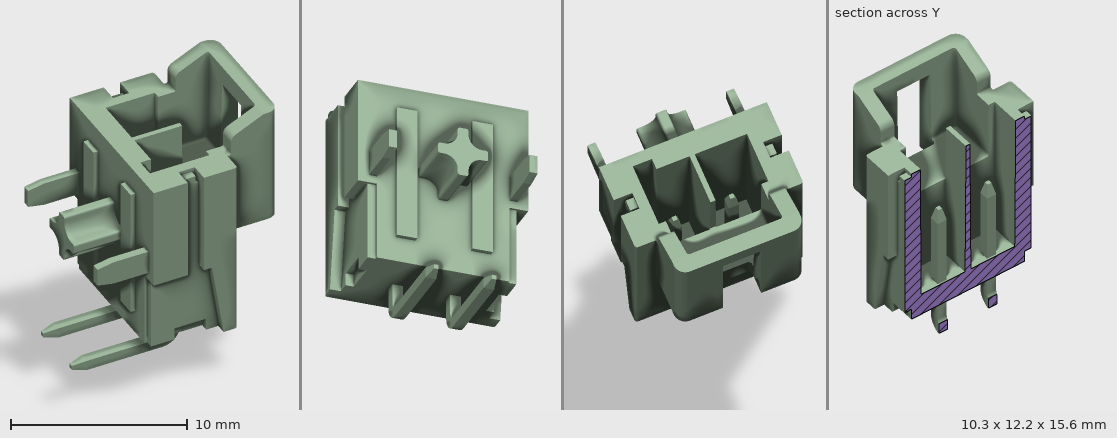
import cadquery as cq
import math


body_width = 10.3
body_depth = 5.35
body_height = 11.22
half_width = body_width / 2
back_corner_radius = 0.17

hood_width = 7.78
hood_back = 8.65
hood_bottom = 5.94
hood_top = 13.36
hood_front = 5.58
hood_bevel_start = 7.66
hood_bevel_angle = 25.0
hood_nose_radius = 0.5
hood_foot_radius = 0.11
hood_corner_radius = 0.7

pocket_width = 5.85
pocket_front = 4.4
pocket_back = 7.53
pocket_floor = 7.3
pocket_radius = 0.17

window_width = 2.35
window_top = 12.22
window_front = 7.13
window_chamfer = 0.14

cavity_outer = 3.36
cavity_front = 1.36
cavity_back = 4.49
cavity_floor = 1.56
cavity_draft = 0.4
divider_half = 0.15
key_inner = 2.19
key_front = 0.69

clip_thickness = 0.48
clip_outer = half_width - 0.65
clip_inner = clip_outer - clip_thickness
groove_front = 2.17
groove_back = 3.2
recess_height = 4.75
recess_back_top = 3.72
recess_back_bottom = 4.45

clip_front = 0.17
clip_arm_gap = 0.05
clip_shoulder_height = 10.5
clip_tab_front = 2.36
clip_tab_back = 3.02
clip_tab_top = 10.97
clip_notch_front = 1.65
clip_notch_back = 3.69
clip_notch_height = 0.77
leg_bottom = 5.22
leg_top = 6.7
leg_length = 3.24
leg_taper_length = 1.02
leg_taper_rise = 0.19

rib_spacing = 4.56
rib_width = 1.22
rib_bottom = 1.53
rib_top = 9.74
rib_thickness = 0.3

post_height = 5.95
post_length = 3.19
post_reach = 1.52
post_arm_half = 0.33
post_tip_radius = 0.14
post_web_start = 1.15

pin_pitch = 3.5
pin_size = 0.64
pin_back = 3.28
pin_tail_bottom = -2.27
pin_tail_end = 3.52
pin_bend_radius = 0.47
pin_tip_length = 0.85
pin_tip_size = 0.27
pin_mating_top = 7.03


def box(x_range, y_range, z_range):
    """Axis-aligned box from its limits along X, Y and Z."""
    sizes = [high - low for low, high in (x_range, y_range, z_range)]
    corner = (x_range[0], y_range[0], z_range[0])
    return cq.Workplane("XY").box(*sizes, centered=False).translate(corner)


def side_plate(outline, x_low, x_high):
    """Closed outline in Y and Z, made solid between two X positions."""
    return cq.Workplane("YZ").polyline(outline).close().extrude(x_high - x_low).translate((x_low, 0, 0))


def mirrored(shape):
    """The shape together with its mirror image across X = 0."""
    return shape.union(shape.mirror("YZ"))


def make_body():
    body = box((-half_width, half_width), (0, body_depth), (0, body_height))
    return body.edges("|Z and >Y").fillet(back_corner_radius)


def make_hood():
    bevel_drop = (hood_bevel_start - hood_front) * math.tan(math.radians(hood_bevel_angle))
    nose_z = hood_top - bevel_drop
    outline = [
        (pocket_front, hood_bottom),
        (hood_back, hood_bottom),
        (hood_back, hood_top),
        (hood_bevel_start, hood_top),
        (hood_front, nose_z),
        (hood_front, body_height),
        (pocket_front, body_height),
    ]
    hood = side_plate(outline, -hood_width / 2, hood_width / 2)
    hood = hood.edges("|Z and >Y").fillet(hood_corner_radius)
    nose = cq.selectors.NearestToPointSelector((0, hood_front, nose_z))
    foot = cq.selectors.NearestToPointSelector((0, hood_front, body_height))
    hood = hood.edges(nose).fillet(hood_nose_radius)
    return hood.edges(foot).fillet(hood_foot_radius)


def make_pocket():
    outline = [
        (pocket_front, pocket_floor),
        (pocket_back, pocket_floor),
        (hood_bevel_start, hood_top),
        (pocket_front, hood_top),
    ]
    pocket = side_plate(outline, -pocket_width / 2, pocket_width / 2)
    return pocket.edges("(not >Z) and (not <Y)").fillet(pocket_radius)


def make_window():
    window = box((-window_width / 2, window_width / 2), (window_front, hood_back), (hood_bottom, window_top))
    return window.edges("|Z and <Y").chamfer(window_chamfer)


def make_cavities():
    left_outline = [
        (-cavity_outer, cavity_front),
        (-divider_half, cavity_front),
        (-divider_half, cavity_back),
        (-cavity_outer, cavity_back),
    ]
    right_outline = [
        (divider_half, cavity_front),
        (key_inner, cavity_front),
        (key_inner, key_front),
        (cavity_outer, key_front),
        (cavity_outer, cavity_back),
        (divider_half, cavity_back),
    ]
    depth = body_height - cavity_floor
    top = cq.Workplane("XY").workplane(offset=body_height)
    left = top.polyline(left_outline).close().extrude(-depth, taper=cavity_draft)
    right = top.polyline(right_outline).close().extrude(-depth, taper=cavity_draft)
    return left.union(right)


def make_clip_space():
    groove = box((clip_inner, half_width), (groove_front, groove_back), (0, body_height))
    recess_outline = [
        (0, 0),
        (recess_back_bottom, 0),
        (recess_back_top, recess_height),
        (0, recess_height),
    ]
    return groove.union(side_plate(recess_outline, clip_inner, half_width))


def make_clip():
    plate_outline = [
        (clip_front, 0),
        (clip_notch_front, 0),
        (clip_notch_front, clip_notch_height),
        (clip_notch_back, clip_notch_height),
        (clip_notch_back, 0),
        (recess_back_bottom, 0),
        (recess_back_top, recess_height),
        (clip_front, recess_height),
    ]
    leg_outline = [
        (clip_front, leg_bottom),
        (clip_front, leg_top),
        (leg_taper_length - leg_length, leg_top),
        (-leg_length, leg_top - leg_taper_rise),
        (-leg_length, leg_bottom + leg_taper_rise),
        (leg_taper_length - leg_length, leg_bottom),
    ]
    thickness = (clip_inner, clip_outer)
    plate = side_plate(plate_outline, *thickness)
    leg = side_plate(leg_outline, *thickness)
    arm = box(thickness, (groove_front + clip_arm_gap, groove_back - clip_arm_gap), (0, clip_shoulder_height))
    arm = arm.cut(box(thickness, (0, body_depth), (0, clip_notch_height)))
    tab = box(thickness, (clip_tab_front, clip_tab_back), (clip_shoulder_height, clip_tab_top))
    return plate.union(leg).union(arm).union(tab)


def make_rib():
    x_middle = rib_spacing / 2
    x_range = (x_middle - rib_width / 2, x_middle + rib_width / 2)
    return box(x_range, (-rib_thickness, 0), (rib_bottom, rib_top))


def make_post():
    half = post_arm_half
    tip_half = half - post_tip_radius
    shoulder = post_reach - post_tip_radius
    tip_middle = post_tip_radius / math.sqrt(2)
    web_radius = post_web_start - half
    web_middle = post_web_start - web_radius / math.sqrt(2)

    def turned(point, quarter_turns):
        x, z = point
        for _ in range(quarter_turns):
            x, z = z, -x
        return (x, z)

    profile = cq.Workplane("XZ").moveTo(-half, post_web_start)
    for turn in range(4):
        profile = (
            profile.lineTo(*turned((-half, shoulder), turn))
            .threePointArc(
                turned((-tip_half - tip_middle, shoulder + tip_middle), turn),
                turned((-tip_half, post_reach), turn),
            )
            .lineTo(*turned((tip_half, post_reach), turn))
            .threePointArc(
                turned((tip_half + tip_middle, shoulder + tip_middle), turn),
                turned((half, shoulder), turn),
            )
            .lineTo(*turned((half, post_web_start), turn))
            .threePointArc(turned((web_middle, web_middle), turn), turned((post_web_start, half), turn))
        )
    return profile.close().extrude(post_length).translate((0, 0, post_height))


def pin_tip(plane):
    """Tapered pin end starting at the origin of the given plane."""
    base = cq.Workplane(plane).rect(pin_size, pin_size)
    return base.workplane(offset=pin_tip_length).rect(pin_tip_size, pin_tip_size).loft()


def make_pin(x):
    y_middle = pin_back - pin_size / 2
    z_middle = pin_tail_bottom + pin_size / 2
    tail_tip_y = pin_tip_length - pin_tail_end
    mating_tip_z = pin_mating_top - pin_tip_length
    outline = [
        (pin_back, mating_tip_z),
        (pin_back, pin_tail_bottom),
        (tail_tip_y, pin_tail_bottom),
        (tail_tip_y, pin_tail_bottom + pin_size),
        (pin_back - pin_size, pin_tail_bottom + pin_size),
        (pin_back - pin_size, mating_tip_z),
    ]
    pin = side_plate(outline, x - pin_size / 2, x + pin_size / 2)
    inner_bend = cq.selectors.NearestToPointSelector((x, pin_back - pin_size, pin_tail_bottom + pin_size))
    outer_bend = cq.selectors.NearestToPointSelector((x, pin_back, pin_tail_bottom))
    pin = pin.edges(inner_bend).fillet(pin_bend_radius)
    pin = pin.edges(outer_bend).fillet(pin_bend_radius + pin_size)
    tail_tip = pin_tip("XZ").translate((x, tail_tip_y, z_middle))
    mating_tip = pin_tip("XY").translate((x, y_middle, mating_tip_z))
    return pin.union(tail_tip).union(mating_tip)


result = make_body().union(make_hood())
result = result.cut(make_pocket()).cut(make_window()).cut(make_cavities())
result = result.cut(mirrored(make_clip_space())).union(mirrored(make_clip()))
result = result.union(mirrored(make_rib())).union(make_post())
for pin_x in (-pin_pitch / 2, pin_pitch / 2):
    result = result.union(make_pin(pin_x))